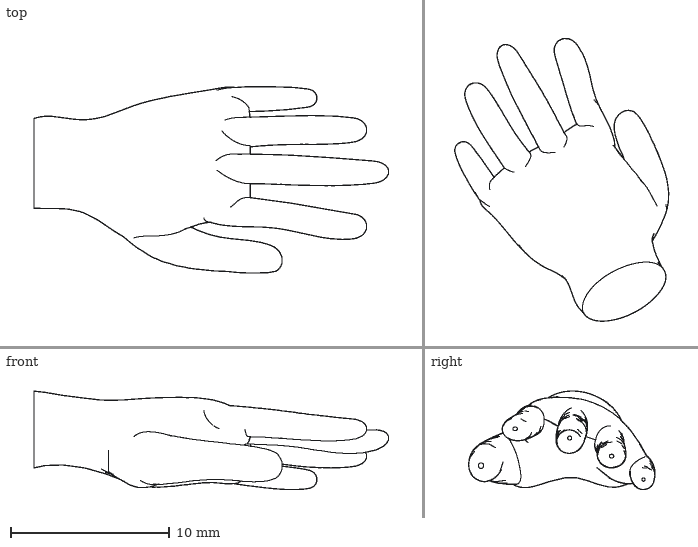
import cadquery as cq
import math

length = 22.45

wrist_tilt = -19.3
wrist_sections = [
    (0.0, (0.0, 0.0), 2.9, 2.38),
    (2.02, (-0.02, -0.07), 2.96, 2.09),
    (3.82, (-0.34, -0.34), 3.25, 2.09),
]

palm_sections = [
    (6.4, [(3.68, -1.62), (2.6, 0.52), (-0.67, 1.93), (-3.15, 1.23),
            (-4.95, -1.57), (-3.82, -3.52), (-0.45, -3.03), (2.25, -3.45)]),
    (10.33, [(4.5, -2.02), (2.92, 0.22), (-0.67, 1.9), (-2.8, 1.77),
            (-3.86, 0.34), (-3.25, -1.68), (0.0, -2.02), (3.03, -3.41)]),
    (12.8, [(4.74, -2.65), (2.92, -0.72), (-1.35, 0.8), (-2.92, 1.32),
            (-3.9, 0.4), (-3.03, -0.9), (-0.22, -1.23), (3.25, -3.41)]),
    (13.7, [(2.7, -1.57), (1.68, -0.9), (-1.12, 0.13), (-2.7, 0.72),
            (-3.48, 0.45), (-2.7, -0.13), (-0.22, -0.72), (1.8, -1.68)]),
]

digits = {
    "little": ([(10.33, 3.25, -2.02, 0.85, 0.85), (13.25, 4.05, -2.7, 0.8, 0.83),
                (15.72, 4.1, -3.05, 0.75, 0.75), (17.17, 4.13, -3.15, 0.6, 0.63)], (17.92, 4.13, -3.17)),
    "ring": ([(10.33, 1.8, -0.43, 0.99, 0.95), (13.92, 2.0, -1.03, 0.95, 0.9),
              (17.06, 2.1, -1.5, 0.92, 0.85), (19.98, 2.1, -1.68, 0.8, 0.7)], (21.05, 2.1, -1.68)),
    "middle": ([(10.33, -0.4, 0.79, 0.99, 0.99), (14.15, -0.35, 0.0, 0.95, 0.95),
                (17.95, -0.5, -0.5, 0.92, 0.83), (21.22, -0.56, -0.72, 0.75, 0.7)], (length, -0.55, -0.55)),
    "index": ([(10.33, -2.51, 0.72, 0.9, 0.9), (13.47, -3.08, 0.5, 0.95, 0.95),
               (16.84, -3.5, 0.2, 0.9, 0.85), (19.98, -3.97, 0.02, 0.83, 0.67)], (21.05, -4.0, 0.05)),
    "thumb": ([(4.71, -2.35, -1.35, 1.45, 1.35), (7.18, -3.82, -1.73, 1.95, 1.73), (9.88, -5.32, -1.93, 1.32, 1.35),
               (12.12, -5.8, -2.02, 1.08, 1.17), (14.6, -6.0, -2.25, 0.95, 1.03)], (15.72, -6.15, -2.3)),
}

dome_angles = [35, 60, 80]
oval_points = 8


def spline_wire(x, points):
    """Smooth closed curve through (Y, Z) points at the given X."""
    return cq.Workplane("YZ", origin=(x, 0, 0)).spline(points, periodic=True).wire().val()


def oval_wire(x, center, half_width, half_height, tilt=0.0):
    """Oval through evenly stepped points, the first one facing +Y so that all sections line up."""
    turn = math.radians(tilt)
    points = []
    for step in range(oval_points):
        angle = 2 * math.pi * step / oval_points - turn
        across = half_width * math.cos(angle)
        up = half_height * math.sin(angle)
        points.append((
            center[0] + across * math.cos(turn) - up * math.sin(turn),
            center[1] + across * math.sin(turn) + up * math.cos(turn),
        ))
    return spline_wire(x, points)


def loft(wires):
    """Solid through the sections, spaced by their true distance to keep it free of ripples."""
    return cq.Workplane(obj=cq.occ_impl.shapes.loft(wires, cap=True, parametrization="chordal"))


def make_palm():
    wires = []
    for x, center, half_width, half_height in wrist_sections:
        wires.append(oval_wire(x, center, half_width, half_height, wrist_tilt))
    for x, points in palm_sections:
        wires.append(spline_wire(x, points))
    return loft(wires)


def make_digit(sections, tip):
    """Loft the sections and close the end with a dome that shrinks as a quarter ellipse."""
    wires = []
    for x, y, z, half_width, half_height in sections:
        wires.append(oval_wire(x, (y, z), half_width, half_height))
    base = sections[-1][:3]
    half_width, half_height = sections[-1][3:]
    full_reach = math.sin(math.radians(dome_angles[-1]))
    for angle in dome_angles:
        reach = math.sin(math.radians(angle)) / full_reach
        shrink = math.cos(math.radians(angle))
        x, y, z = [start + reach * (end - start) for start, end in zip(base, tip)]
        wires.append(oval_wire(x, (y, z), shrink * half_width, shrink * half_height))
    return loft(wires)


result = make_palm()
for sections, tip in digits.values():
    result = result.union(make_digit(sections, tip))